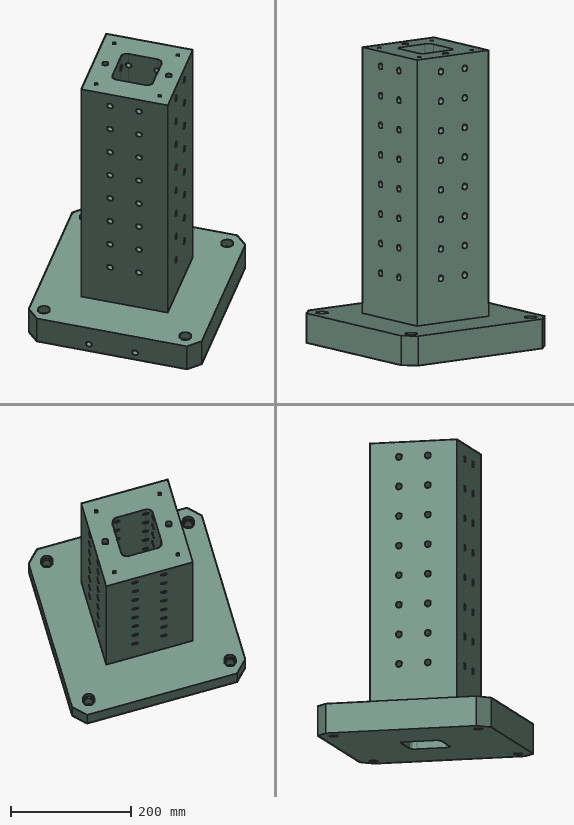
import cadquery as cq
import math

base_side = 300.0
base_thickness = 50.0
base_corner_chamfer = 20.0

total_height = 500.0
tower_side = 150.0
bore_side = 70.0
bore_corner_radius = 10.0

mount_hole_diameter = 14.0
mount_counterbore_diameter = 20.0
mount_counterbore_depth = 15.0
mount_x_positions = (-125.0, 120.0)
mount_y_positions = (-125.0, 125.0)

thread_core_diameter = 10.11
blind_thread_depth = 25.0

wall_hole_depth = (tower_side - bore_side) / 2
grid_rows = 8
grid_pitch = 50.0
grid_top_margin = 25.0

top_hole_offset = 55.0
small_hole_diameter = 5.0
small_hole_depth = 12.0

front_hole_offset = 40.0
front_hole_height = 15.0

drill_tip_angle = 118.0


def drilled_hole(diameter, depth, mouth, direction):
    """Cutter for a blind hole: a cylinder of the given depth with a conical drill tip."""
    radius = diameter / 2
    tip_length = radius / math.tan(math.radians(drill_tip_angle / 2))
    start = cq.Vector(*mouth)
    axis = cq.Vector(*direction)
    shank = cq.Solid.makeCylinder(radius, depth, start, axis)
    tip = cq.Solid.makeCone(radius, 0, tip_length, start + axis * depth, axis)
    return shank.fuse(tip)


def make_body():
    """Chamfered base plate and square tower with a square bore through both."""
    base = (
        cq.Workplane("XY")
        .box(base_side, base_side, base_thickness, centered=(True, True, False))
        .edges("|Z")
        .chamfer(base_corner_chamfer)
    )
    tower = cq.Workplane("XY").box(tower_side, tower_side, total_height, centered=(True, True, False))
    bore = (
        cq.Workplane("XY")
        .box(bore_side, bore_side, total_height, centered=(True, True, False))
        .edges("|Z")
        .fillet(bore_corner_radius)
    )
    return base.union(tower).cut(bore)


def cut_mounting_holes(body):
    """Counterbored holes near the corners of the base plate."""
    centres = [(x, y) for x in mount_x_positions for y in mount_y_positions]
    shanks = cq.Workplane("XY").pushPoints(centres).circle(mount_hole_diameter / 2).extrude(base_thickness)
    counterbores = (
        cq.Workplane("XY", origin=(0, 0, base_thickness))
        .pushPoints(centres)
        .circle(mount_counterbore_diameter / 2)
        .extrude(-mount_counterbore_depth)
    )
    return body.cut(shanks).cut(counterbores)


def cut_wall_holes(body):
    """Two columns of holes drilled from each tower face until the drill tip breaks into the bore."""
    face = tower_side / 2
    top_row = total_height - grid_top_margin
    drills = []
    for row in range(grid_rows):
        z = top_row - row * grid_pitch
        for across in (-grid_pitch / 2, grid_pitch / 2):
            for side in (-1, 1):
                x_mouth = (side * face, across, z)
                y_mouth = (across, side * face, z)
                drills.append(drilled_hole(thread_core_diameter, wall_hole_depth, x_mouth, (-side, 0, 0)))
                drills.append(drilled_hole(thread_core_diameter, wall_hole_depth, y_mouth, (0, -side, 0)))
    return body.cut(cq.Workplane(cq.Compound.makeCompound(drills)))


def cut_top_holes(body):
    """Two threaded holes and four small corner holes in the top of the tower."""
    down = (0, 0, -1)
    for x in (-top_hole_offset, top_hole_offset):
        body = body.cut(drilled_hole(thread_core_diameter, blind_thread_depth, (x, 0, total_height), down))
        for y in (-top_hole_offset, top_hole_offset):
            body = body.cut(drilled_hole(small_hole_diameter, small_hole_depth, (x, y, total_height), down))
    return body


def cut_front_holes(body):
    """Two threaded holes in the -Y face of the base plate."""
    for x in (-front_hole_offset, front_hole_offset):
        mouth = (x, -base_side / 2, front_hole_height)
        body = body.cut(drilled_hole(thread_core_diameter, blind_thread_depth, mouth, (0, 1, 0)))
    return body


result = make_body()
result = cut_mounting_holes(result)
result = cut_wall_holes(result)
result = cut_top_holes(result)
result = cut_front_holes(result)